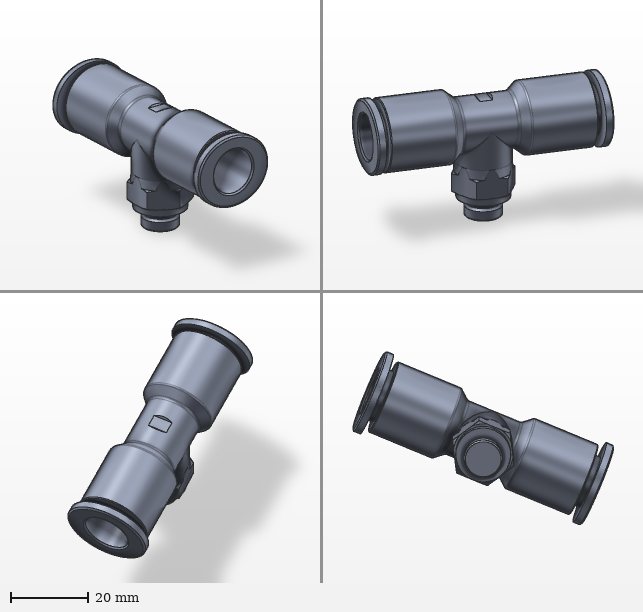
import cadquery as cq
import math

LENGTH = 64.4
SLEEVE_R = 9.85
SLEEVE_END = 28.3
SLEEVE_EDGE = 0.25
MIDDLE_R = 7.55
TAPER_START = 7.55
TAPER_END = 10.3
TAPER_ROOT_FILLET = 1.2
TAPER_CREST_FILLET = 0.8
EDGE_TOLERANCE = 0.005

NECK_R = 7.1
FLANGE_WIDTH_Y = 22.5
FLANGE_HEIGHT_Z = 2 * SLEEVE_R
FLANGE_THICKNESS = 2.2
FLANGE_CHAMFER_INSET = 0.5
FLANGE_CHAMFER_DEPTH = 0.4
BORE_R = 6.1
BORE_CHAMFER = 0.45
BORE_DEPTH = 19.3

NOTCH_Z = 7.1
NOTCH_FLOOR = 3.35
NOTCH_MOUTH = NOTCH_FLOOR + 2 * (MIDDLE_R - NOTCH_Z)

SKIRT_TOP_Z = -10.45
HEX_TOP_Z = -13.1
HEX_BOTTOM_Z = -18.5
COLLAR_BOTTOM_Z = -20.55
BRANCH_BOTTOM_Z = -25.8

HEX_FLATS = 2 * MIDDLE_R
HEX_CORNERS = HEX_FLATS / math.cos(math.pi / 6)
HEX_CHAMFER_DROP = 0.3
SKIRT_BASE_R = 7.8
COLLAR_R = 7.15

GROOVE_R = 4.25
GROOVE_ROOT_R = 3.9
GROOVE_ROOT_Z = -21.05
LIP_R = 5.0
LIP_START_Z = -22.5
LIP_FULL_Z = -23.05
LIP_EDGE = 0.4


def revolve_about_z(points):
    """Solid of revolution about Z from an outline of (radius, z) points."""
    return cq.Workplane("XZ").polyline(points).close().revolve(360, (0, 0, 0), (0, 1, 0))


def shoulder_edges(body, distance):
    """The circular edges of the run at the given distance either side of the centre."""
    return body.edges("%CIRCLE").filter(lambda edge: abs(abs(edge.Center().x) - distance) < EDGE_TOLERANCE)


def run_body():
    """Middle, filleted tapers and both sleeves, revolved in one piece."""
    half_outline = [
        (TAPER_START, MIDDLE_R),
        (TAPER_END, SLEEVE_R),
        (SLEEVE_END, SLEEVE_R),
        (SLEEVE_END, 0),
    ]
    mirrored_outline = [(-x, radius) for x, radius in reversed(half_outline)]
    body = cq.Workplane("XZ").polyline(mirrored_outline + half_outline).close().revolve(360, (0, 0, 0), (1, 0, 0))
    body = shoulder_edges(body, SLEEVE_END).chamfer(SLEEVE_EDGE)
    body = shoulder_edges(body, TAPER_START).fillet(TAPER_ROOT_FILLET)
    return shoulder_edges(body, TAPER_END).fillet(TAPER_CREST_FILLET)


def neck():
    """Round neck joining the +X sleeve to its flange."""
    length = LENGTH / 2 - FLANGE_THICKNESS - SLEEVE_END
    return cq.Workplane("YZ", origin=(SLEEVE_END, 0, 0)).circle(NECK_R).extrude(length)


def flange():
    """Oval flange at the +X end with its outer rim chamfered."""
    half_y = FLANGE_WIDTH_Y / 2
    half_z = FLANGE_HEIGHT_Z / 2
    return (
        cq.Workplane("YZ", origin=(LENGTH / 2 - FLANGE_THICKNESS, 0, 0))
        .ellipse(half_y, half_z)
        .extrude(FLANGE_THICKNESS)
        .faces(">X").edges().chamfer(FLANGE_CHAMFER_DEPTH, FLANGE_CHAMFER_INSET)
    )


def tube_bore():
    """Blind bore with a chamfered mouth, entering from the +X end."""
    end = LENGTH / 2
    return (
        cq.Workplane("XY")
        .polyline([
            (end - BORE_DEPTH, 0),
            (end - BORE_DEPTH, BORE_R),
            (end - BORE_CHAMFER, BORE_R),
            (end, BORE_R + BORE_CHAMFER),
            (end, 0),
        ])
        .close()
        .revolve(360, (0, 0, 0), (1, 0, 0))
    )


def notch():
    """Cutter with 45 degree end walls, crossing the top of the run."""
    return (
        cq.Workplane("XZ")
        .polyline([
            (-NOTCH_FLOOR / 2, NOTCH_Z),
            (NOTCH_FLOOR / 2, NOTCH_Z),
            (NOTCH_MOUTH / 2, MIDDLE_R),
            (-NOTCH_MOUTH / 2, MIDDLE_R),
        ])
        .close()
        .extrude(MIDDLE_R, both=True)
    )


def hexagon(bottom_z, top_z):
    """Hexagonal prism with two corners on the X axis."""
    return cq.Workplane("XY", origin=(0, 0, bottom_z)).polygon(6, HEX_CORNERS).extrude(top_z - bottom_z)


def branch():
    """Round stem, flared skirt trimmed by the hexagon, and the chamfered hexagon."""
    stem = cq.Workplane("XY").circle(MIDDLE_R).extrude(SKIRT_TOP_Z)
    skirt = revolve_about_z([
        (0, SKIRT_TOP_Z),
        (MIDDLE_R, SKIRT_TOP_Z),
        (SKIRT_BASE_R, HEX_TOP_Z),
        (0, HEX_TOP_Z),
    ]).intersect(hexagon(HEX_TOP_Z, SKIRT_TOP_Z))
    corner_r = HEX_CORNERS / 2
    corner_trim = revolve_about_z([
        (0, HEX_TOP_Z),
        (SKIRT_BASE_R, HEX_TOP_Z),
        (corner_r, HEX_TOP_Z - HEX_CHAMFER_DROP),
        (corner_r, HEX_BOTTOM_Z + HEX_CHAMFER_DROP),
        (SKIRT_BASE_R, HEX_BOTTOM_Z),
        (0, HEX_BOTTOM_Z),
    ])
    nut = hexagon(HEX_BOTTOM_Z, HEX_TOP_Z).intersect(corner_trim)
    return stem.union(skirt).union(nut)


def spigot():
    """Collar, undercut groove and chamfered lip below the hexagon."""
    return revolve_about_z([
        (0, HEX_BOTTOM_Z),
        (COLLAR_R, HEX_BOTTOM_Z),
        (COLLAR_R, COLLAR_BOTTOM_Z),
        (GROOVE_ROOT_R, COLLAR_BOTTOM_Z),
        (GROOVE_R, GROOVE_ROOT_Z),
        (GROOVE_R, LIP_START_Z),
        (LIP_R, LIP_FULL_Z),
        (LIP_R, BRANCH_BOTTOM_Z + LIP_EDGE),
        (LIP_R - LIP_EDGE, BRANCH_BOTTOM_Z),
        (0, BRANCH_BOTTOM_Z),
    ])


release_ring = neck().union(flange())
bore = tube_bore()
result = run_body().cut(notch()).union(branch()).union(spigot())
result = result.union(release_ring).union(release_ring.mirror("YZ"))
result = result.cut(bore).cut(bore.mirror("YZ"))